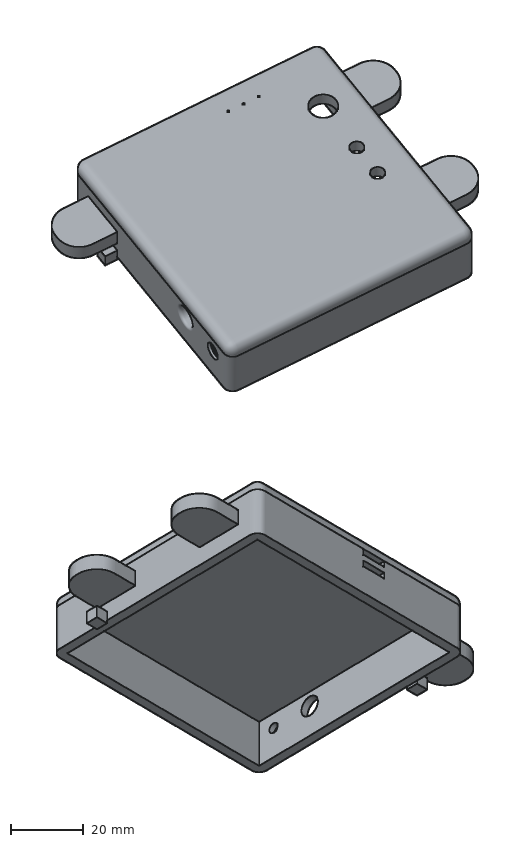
import cadquery as cq
import math

OVERALL_LENGTH = 110.0
OVERALL_HEIGHT = 20.0
BOX_SIDE = 80.0
HALF_SIDE = BOX_SIDE / 2
WALL = 3.0
EDGE_RADIUS = WALL
LID_HEIGHT = 4.1
FOOT_DROP = 1.0
BASE_HEIGHT = OVERALL_HEIGHT - FOOT_DROP - LID_HEIGHT

TAB_LENGTH = (OVERALL_LENGTH - BOX_SIDE) / 2
TAB_WIDTH = 15.0
TAB_THICKNESS = 5.0
TAB_BOTTOM = 6.0
TAB_CORNER_RADIUS = 7.0
LEFT_TAB_X = -25.0
RIGHT_TAB_X = 15.0
FOOT_SIZE = 4.0
FRONT = -1
BACK = 1

JACK_X = 17.4
JACK_Z = 10.1
JACK_DIAMETER = 6.4
JACK_MOUTH_DIAMETER = 8.2
SOCKET_X = 31.5
SOCKET_Z = 10.0
SOCKET_DIAMETER = 3.2
SOCKET_MOUTH_DIAMETER = 5.2
SOCKET_MOUTH_DEPTH = 1.0

SLOT_LENGTH = 8.0
SLOT_HEIGHT = 2.0
SLOT_PITCH = 2 * SLOT_HEIGHT
SLOT_COUNT = 2
SLOT_Y = -5.0

LID_HOLE_Y = HALF_SIDE - 12.0
KNOB_HOLE_X = -19.5
KNOB_HOLE_DIAMETER = 8.2
SWITCH_HOLE_XS = (-2.2, 8.5)
SWITCH_HOLE_DIAMETER = 4.2
VENT_X = -31.8
VENT_DIAMETER = 0.6
VENT_PITCH = 5.0
VENT_COUNT = 3
FIRST_VENT_Y = HALF_SIDE - 25.1


def jack_hole():
    """Through hole whose mouth flares out in a quarter-round."""
    bore_radius = JACK_DIAMETER / 2
    mouth_radius = JACK_MOUTH_DIAMETER / 2
    flare_radius = mouth_radius - bore_radius
    flare_mid = flare_radius * (1 - math.sqrt(0.5))
    profile = (
        cq.Workplane("XY")
        .lineTo(mouth_radius, 0)
        .threePointArc((bore_radius + flare_mid, flare_mid), (bore_radius, flare_radius))
        .lineTo(bore_radius, WALL)
        .lineTo(0, WALL)
        .close()
    )
    return profile.revolve(360, (0, 0), (0, 1)).translate((JACK_X, -HALF_SIDE, JACK_Z))


def socket_hole():
    """Through hole with a counterbore."""
    front_face = cq.Workplane(
        cq.Plane(origin=(SOCKET_X, -HALF_SIDE, SOCKET_Z), xDir=(1, 0, 0), normal=(0, 1, 0))
    )
    bore = front_face.circle(SOCKET_DIAMETER / 2).extrude(WALL)
    mouth = front_face.circle(SOCKET_MOUTH_DIAMETER / 2).extrude(SOCKET_MOUTH_DEPTH)
    return bore.union(mouth)


def side_slot(index):
    """Slot through the left wall, counted downwards from the rim."""
    slot_bottom = BASE_HEIGHT - SLOT_HEIGHT - index * SLOT_PITCH
    slot = cq.Workplane("XY").box(WALL, SLOT_LENGTH, SLOT_HEIGHT, centered=(False, True, False))
    return slot.translate((-HALF_SIDE, SLOT_Y, slot_bottom))


def make_base():
    """Square wall frame, open at the top and bottom."""
    inner_side = BOX_SIDE - 2 * WALL
    base = (
        cq.Workplane("XY")
        .rect(BOX_SIDE, BOX_SIDE)
        .extrude(BASE_HEIGHT)
        .edges("|Z")
        .fillet(EDGE_RADIUS)
        .cut(cq.Workplane("XY").rect(inner_side, inner_side).extrude(BASE_HEIGHT))
        .cut(jack_hole())
        .cut(socket_hole())
    )
    for index in range(SLOT_COUNT):
        base = base.cut(side_slot(index))
    return base


def lid_holes(points, diameter):
    """Round cutters through the lid."""
    lid_underside = cq.Workplane("XY", origin=(0, 0, BASE_HEIGHT))
    return lid_underside.pushPoints(points).circle(diameter / 2).extrude(LID_HEIGHT)


def make_lid():
    """Solid plate closing the base, rounded along its top and corner edges."""
    vents = [(VENT_X, FIRST_VENT_Y - index * VENT_PITCH) for index in range(VENT_COUNT)]
    switches = [(x, LID_HOLE_Y) for x in SWITCH_HOLE_XS]
    return (
        cq.Workplane("XY", origin=(0, 0, BASE_HEIGHT))
        .rect(BOX_SIDE, BOX_SIDE)
        .extrude(LID_HEIGHT)
        .edges("|Z or >Z")
        .fillet(EDGE_RADIUS)
        .cut(lid_holes([(KNOB_HOLE_X, LID_HOLE_Y)], KNOB_HOLE_DIAMETER))
        .cut(lid_holes(switches, SWITCH_HOLE_DIAMETER))
        .cut(lid_holes(vents, VENT_DIAMETER))
    )


def make_tab(x, side):
    """Flat tab with rounded outer corners; side is FRONT or BACK."""
    y = side * (HALF_SIDE + TAB_LENGTH / 2)
    outer_edges = "|Z and >Y" if side == BACK else "|Z and <Y"
    return (
        cq.Workplane("XY", origin=(x, y, TAB_BOTTOM))
        .rect(TAB_WIDTH, TAB_LENGTH)
        .extrude(TAB_THICKNESS)
        .edges(outer_edges)
        .fillet(TAB_CORNER_RADIUS)
    )


def make_foot(tab_x, side):
    """Cube against the wall, flush with the right edge of the tab above it."""
    x = tab_x + (TAB_WIDTH - FOOT_SIZE) / 2
    y = side * (HALF_SIDE + FOOT_SIZE / 2)
    return cq.Workplane("XY", origin=(x, y, -FOOT_DROP)).rect(FOOT_SIZE, FOOT_SIZE).extrude(FOOT_SIZE)


base = make_base()
lid = make_lid()
tabs = [make_tab(x, side) for x, side in ((LEFT_TAB_X, FRONT), (LEFT_TAB_X, BACK), (RIGHT_TAB_X, BACK))]
feet = [make_foot(x, side) for x, side in ((LEFT_TAB_X, FRONT), (RIGHT_TAB_X, BACK))]

result = cq.Compound.makeCompound(
    [base.val(), lid.val(), *[tab.val() for tab in tabs], *[foot.val() for foot in feet]]
)